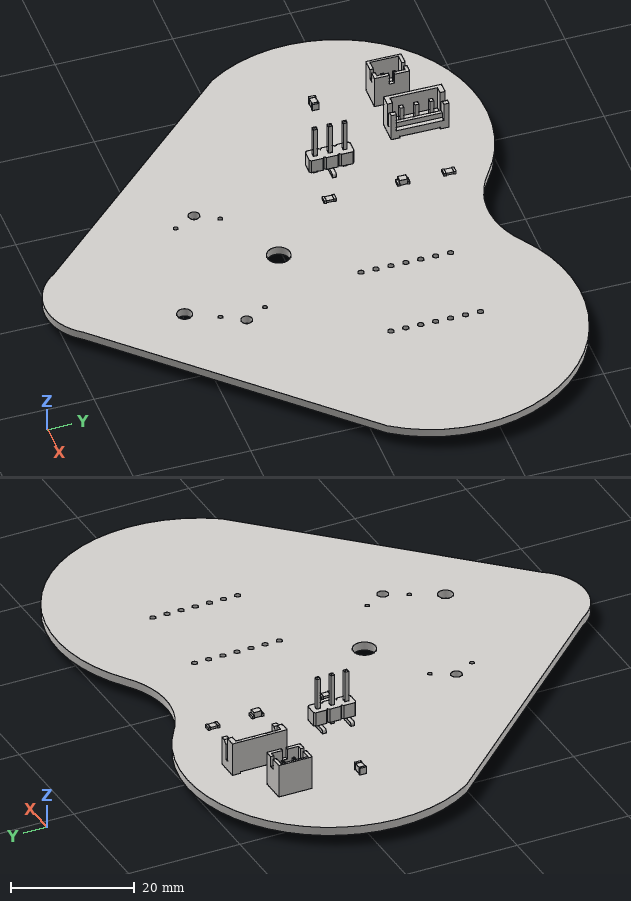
import cadquery as cq
import math

BOARD_WIDTH = 98.3
BOARD_THICKNESS = 1.6
BOARD_TIP_Y = -41.7
TIP_X = -0.1
LEFT_LOBE_RADIUS = 25.4
RIGHT_LOBE_RADIUS = 25.7
LOBE_Y = 16.0
LEFT_LOBE = (LEFT_LOBE_RADIUS - BOARD_WIDTH / 2, LOBE_Y)
RIGHT_LOBE = (BOARD_WIDTH / 2 - RIGHT_LOBE_RADIUS, LOBE_Y)
NOTCH_RADIUS = 14.5
SIDE_CORNER = (44.7, 1.6)
TIP_ARC_HALF_WIDTH = 7.6
TIP_ARC_Y = -37.7

MAIN_HOLE = (-0.6, -1.8, 3.9)
OFFSET_HOLE = (8.4, -20.75, 2.6)
SWITCH_CENTER = (-0.6, -11.7)
SWITCH_PEG_SPACING = 26.9
SWITCH_PEG_DIAMETER = 1.9
SWITCH_LEAD_SPACING = (22.9, 7.6)
SWITCH_LEAD_DIAMETER = 0.75
MODULE_CENTER = (15.2, 17.1)
MODULE_ROW_SPACING = 15.2
MODULE_ROW_PINS = 7
PITCH = MODULE_ROW_SPACING / (MODULE_ROW_PINS - 1)
MODULE_HOLE_DIAMETER = 1.0
SOCKET_HOLE_DIAMETER = 0.95

SOCKET_HEIGHT = 6.0
SOCKET_TOP = BOARD_THICKNESS + SOCKET_HEIGHT
SOCKET_FLOOR = 3.2

NARROW_X = (-34.7, -30.3)
NARROW_Y = (24.4, 30.4)
NARROW_WALL = 0.6
NARROW_BACK_WALL = 0.4
NARROW_SLOT_WIDTH = 0.9
NARROW_SLOT_DEPTH = 1.9
NARROW_PIN_X = -32.2
NARROW_PIN_PITCH = 2.0
NARROW_PIN_WIDTH = 0.5
NARROW_PIN_TOP = 6.6
NARROW_PIN_BOTTOM = -1.8
NARROW_PIN_KINK = 0.3
NARROW_PIN_KINK_Z = -0.6
NARROW_PIN_TIP = 0.3
NARROW_PIN_POINT = 0.2

WIDE_X = (-25.6, -21.7)
WIDE_Y = (24.4, 34.2)
WIDE_BACK_WALL = 0.6
WIDE_END_WALL = 0.9
WIDE_SLOT_X = (-23.7, -23.1)
WIDE_LIP_WIDTH = 0.6
WIDE_LIP_HEIGHT = 1.0
WIDE_FRONT_DROP = 0.9
WIDE_FOOT = 1.5
WIDE_FOOT_HEIGHT = 0.3
WIDE_PIN_X = -23.7
WIDE_PIN_TOP = 6.4
WIDE_PIN_BOTTOM = -1.5

HEADER_CENTER = (-18.3, 12.8)
HEADER_PINS = 3
HEADER_BODY_BOTTOM = 2.6
HEADER_BODY_CHAMFER = 0.3
HEADER_FOOT_REACH = 2.5
HEADER_PIN_TOP = 10.9
HEADER_PIN_TIP = 0.2
PIN_WIDTH = 0.67

CHIP_LENGTH = 2.1
CHIP_WIDTH = 1.2
CHIP_TERMINAL = 0.4
CHIP_INSET = 0.05
RESISTOR_HEIGHT = 0.5
RESISTOR_PLACES = [(-11.1, 30.7), (-10.8, 10.2)]
CAPACITOR_HEIGHT = 1.3
CAPACITOR_PLACE = (-33.5, 15.1)
LED_PLACE = (-11.1, 22.8)
LENS_LENGTH = 1.4
LENS_HEIGHT = 0.6


def box(x_range, y_range, z_range):
    """Block between two X, two Y and two Z values."""
    size = [high - low for low, high in (x_range, y_range, z_range)]
    corner = (x_range[0], y_range[0], z_range[0])
    return cq.Workplane("XY").box(*size, centered=False).translate(corner)


def around(center, width):
    """Range of the given width about a center."""
    return (center - width / 2, center + width / 2)


def row(center, pitch, count):
    """Evenly spaced positions about a center."""
    return [center + pitch * (i - (count - 1) / 2) for i in range(count)]


NARROW_PIN_YS = row(sum(NARROW_Y) / 2, NARROW_PIN_PITCH, 2)
WIDE_PIN_YS = row(sum(WIDE_Y) / 2, PITCH, 3)


def notch_center():
    """Center of the notch arc, which touches both lobes from outside."""
    left_reach = LEFT_LOBE_RADIUS + NOTCH_RADIUS
    right_reach = RIGHT_LOBE_RADIUS + NOTCH_RADIUS
    gap = RIGHT_LOBE[0] - LEFT_LOBE[0]
    along = (gap**2 + left_reach**2 - right_reach**2) / (2 * gap)
    return (LEFT_LOBE[0] + along, LOBE_Y + math.sqrt(left_reach**2 - along**2))


def touch_point(lobe, radius, notch):
    """Point where a lobe meets the notch arc."""
    share = radius / (radius + NOTCH_RADIUS)
    return tuple(a + share * (b - a) for a, b in zip(lobe, notch))


def heart():
    notch = notch_center()
    left_touch = touch_point(LEFT_LOBE, LEFT_LOBE_RADIUS, notch)
    right_touch = touch_point(RIGHT_LOBE, RIGHT_LOBE_RADIUS, notch)
    corner_x, corner_y = SIDE_CORNER
    return (
        cq.Workplane("XY")
        .moveTo(TIP_X + TIP_ARC_HALF_WIDTH, TIP_ARC_Y)
        .lineTo(corner_x, corner_y)
        .threePointArc((RIGHT_LOBE[0] + RIGHT_LOBE_RADIUS, LOBE_Y), right_touch)
        .threePointArc((notch[0], notch[1] - NOTCH_RADIUS), left_touch)
        .threePointArc((LEFT_LOBE[0] - LEFT_LOBE_RADIUS, LOBE_Y), (-corner_x, corner_y))
        .lineTo(TIP_X - TIP_ARC_HALF_WIDTH, TIP_ARC_Y)
        .threePointArc((TIP_X, BOARD_TIP_Y), (TIP_X + TIP_ARC_HALF_WIDTH, TIP_ARC_Y))
        .close()
        .extrude(BOARD_THICKNESS)
    )


def drill(board, places, diameter):
    """Board with through holes of one diameter at the given places."""
    cutters = cq.Workplane("XY").pushPoints(places).circle(diameter / 2).extrude(BOARD_THICKNESS)
    return board.cut(cutters)


def make_board():
    board = heart()
    for x, y, diameter in (MAIN_HOLE, OFFSET_HOLE):
        board = drill(board, [(x, y)], diameter)

    switch_x, switch_y = SWITCH_CENTER
    pegs = [(x, switch_y) for x in row(switch_x, SWITCH_PEG_SPACING, 2)]
    board = drill(board, pegs, SWITCH_PEG_DIAMETER)
    lead_dx, lead_dy = SWITCH_LEAD_SPACING
    leads = [(x, y) for x in row(switch_x, lead_dx, 2) for y in row(switch_y, lead_dy, 2)]
    board = drill(board, leads, SWITCH_LEAD_DIAMETER)

    module_xs = row(MODULE_CENTER[0], MODULE_ROW_SPACING, 2)
    module_ys = row(MODULE_CENTER[1], PITCH, MODULE_ROW_PINS)
    board = drill(board, [(x, y) for x in module_xs for y in module_ys], MODULE_HOLE_DIAMETER)

    narrow_hole_x = NARROW_PIN_X + NARROW_PIN_KINK / 2
    board = drill(board, [(narrow_hole_x, y) for y in NARROW_PIN_YS], SOCKET_HOLE_DIAMETER)
    return drill(board, [(WIDE_PIN_X, y) for y in WIDE_PIN_YS], SOCKET_HOLE_DIAMETER)


def kinked_pin(y):
    """Square pin with a pointed top and a tail that steps to +X and back."""
    half = NARROW_PIN_WIDTH / 2
    tip_half = half - NARROW_PIN_TIP / 2
    path = [
        (0, NARROW_PIN_TOP, half),
        (0, BOARD_THICKNESS, half),
        (NARROW_PIN_KINK, BOARD_THICKNESS / 2, half),
        (NARROW_PIN_KINK, NARROW_PIN_KINK_Z, half),
        (0, NARROW_PIN_BOTTOM + NARROW_PIN_TIP, half),
        (0, NARROW_PIN_BOTTOM, tip_half),
    ]
    right_side = [(NARROW_PIN_X + x + w, z) for x, z, w in path]
    left_side = [(NARROW_PIN_X + x - w, z) for x, z, w in reversed(path)]
    outline = cq.Workplane("XZ", origin=(0, y, 0)).polyline(right_side + left_side).close()
    pin = outline.extrude(half, both=True)
    return pin.faces(">Z").chamfer(NARROW_PIN_POINT)


def make_narrow_socket():
    x_low, x_high = NARROW_X
    y_low, y_high = NARROW_Y
    slot_z = (SOCKET_TOP - NARROW_SLOT_DEPTH, SOCKET_TOP)
    socket = box(NARROW_X, NARROW_Y, (BOARD_THICKNESS, SOCKET_TOP))
    cavity_x = (x_low + NARROW_BACK_WALL, x_high - NARROW_WALL)
    cavity_y = (y_low + NARROW_WALL, y_high - NARROW_WALL)
    socket = socket.cut(box(cavity_x, cavity_y, (SOCKET_FLOOR, SOCKET_TOP)))
    socket = socket.cut(box(around(NARROW_PIN_X, NARROW_SLOT_WIDTH), NARROW_Y, slot_z))
    front_slot_y = around(sum(NARROW_Y) / 2, NARROW_SLOT_WIDTH)
    socket = socket.cut(box((x_high - NARROW_WALL, x_high), front_slot_y, slot_z))
    for y in NARROW_PIN_YS:
        socket = socket.union(kinked_pin(y))
    return socket


def make_wide_socket():
    x_low, x_high = WIDE_X
    y_low, y_high = WIDE_Y
    slot_low, slot_high = WIDE_SLOT_X
    front_top = SOCKET_TOP - WIDE_FRONT_DROP
    lip_x = (slot_high, slot_high + WIDE_LIP_WIDTH)
    inner_y = (y_low + WIDE_END_WALL, y_high - WIDE_END_WALL)

    profile = [
        (x_low, BOARD_THICKNESS),
        (x_high, BOARD_THICKNESS),
        (x_high, front_top),
        (lip_x[1], front_top),
        (lip_x[0], front_top - WIDE_LIP_WIDTH),
        (slot_high, SOCKET_FLOOR),
        (slot_low, SOCKET_FLOOR),
        (slot_low, SOCKET_TOP),
        (x_low, SOCKET_TOP),
    ]
    socket = cq.Workplane("XZ", origin=(0, y_high, 0)).polyline(profile).close().extrude(y_high - y_low)
    socket = socket.cut(box((x_low + WIDE_BACK_WALL, x_high), inner_y, (SOCKET_FLOOR, SOCKET_TOP)))
    socket = socket.union(box(lip_x, inner_y, (SOCKET_FLOOR, SOCKET_FLOOR + WIDE_LIP_HEIGHT)))
    channel_y = (y_low + WIDE_FOOT, y_high - WIDE_FOOT)
    channel_z = (BOARD_THICKNESS, BOARD_THICKNESS + WIDE_FOOT_HEIGHT)
    socket = socket.cut(box(WIDE_X, channel_y, channel_z))
    for y in WIDE_PIN_YS:
        pin_x = around(WIDE_PIN_X, PIN_WIDTH)
        socket = socket.union(box(pin_x, around(y, PIN_WIDTH), (WIDE_PIN_BOTTOM, WIDE_PIN_TOP)))
    return socket


def header_pin(y, side):
    """Straight pin whose foot lies on the board and points to -X (side -1) or +X (side 1)."""
    center_x = HEADER_CENTER[0]
    half = PIN_WIDTH / 2
    post = box(around(center_x, PIN_WIDTH), around(y, PIN_WIDTH), (BOARD_THICKNESS, HEADER_PIN_TOP))
    post = post.faces(">Z").chamfer(HEADER_PIN_TIP)
    foot_x = sorted((center_x - side * half, center_x + side * HEADER_FOOT_REACH))
    foot = box(foot_x, around(y, PIN_WIDTH), (BOARD_THICKNESS, BOARD_THICKNESS + PIN_WIDTH))
    toe = foot.faces(">X" if side > 0 else "<X").edges(">Z").fillet(half)
    return post.union(toe)


def make_header():
    center_x, center_y = HEADER_CENTER
    pin_ys = row(center_y, PITCH, HEADER_PINS)
    header = cq.Workplane("XY")
    for y in pin_ys:
        body_z = (HEADER_BODY_BOTTOM, HEADER_BODY_BOTTOM + PITCH)
        segment = box(around(center_x, PITCH), around(y, PITCH), body_z)
        header = header.union(segment.edges("|Z").chamfer(HEADER_BODY_CHAMFER))
    for index, y in enumerate(pin_ys):
        header = header.union(header_pin(y, 1 if index % 2 else -1))
    return header


def make_chip(height):
    """Chip with its length along Y, two end terminals and a slightly smaller body."""
    body_width = CHIP_WIDTH - 2 * CHIP_INSET
    body_length = CHIP_LENGTH - 2 * CHIP_INSET
    body_z = (BOARD_THICKNESS + CHIP_INSET, BOARD_THICKNESS + height - CHIP_INSET)
    chip = box(around(0, body_width), around(0, body_length), body_z)
    for y in row(0, CHIP_LENGTH - CHIP_TERMINAL, 2):
        terminal_z = (BOARD_THICKNESS, BOARD_THICKNESS + height)
        chip = chip.union(box(around(0, CHIP_WIDTH), around(y, CHIP_TERMINAL), terminal_z))
    return chip


def make_resistor(place):
    return make_chip(RESISTOR_HEIGHT).translate((*place, 0))


def make_capacitor():
    turned = make_chip(CAPACITOR_HEIGHT).rotate((0, 0, 0), (0, 0, 1), 90)
    return turned.translate((*CAPACITOR_PLACE, 0))


def make_led():
    lens_bottom = BOARD_THICKNESS + CHIP_INSET
    lens_top = BOARD_THICKNESS + RESISTOR_HEIGHT + LENS_HEIGHT
    lens_width = CHIP_WIDTH - 2 * CHIP_INSET
    lens = box(around(0, lens_width), around(0, LENS_LENGTH), (lens_bottom, lens_top))
    return make_chip(RESISTOR_HEIGHT).union(lens).translate((*LED_PLACE, 0))


board = make_board()
narrow_socket = make_narrow_socket()
wide_socket = make_wide_socket()
header = make_header()
resistors = [make_resistor(place) for place in RESISTOR_PLACES]
capacitor = make_capacitor()
led = make_led()

result = cq.Compound.makeCompound(
    [
        board.val(),
        narrow_socket.val(),
        wide_socket.val(),
        header.val(),
        *[resistor.val() for resistor in resistors],
        capacitor.val(),
        led.val(),
    ]
)